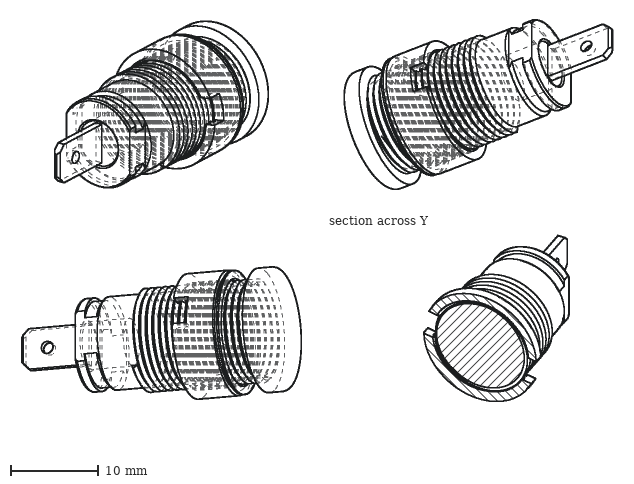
import cadquery as cq
import math


flange_radius = 7.2
head_length = 2.25
head_edge_radius = 0.6
body_radius = 5.4
body_end_depth = 20.6
housing_end_depth = 23.6
neck_radius = 5.0
neck_cone_length = body_radius - neck_radius
neck_end_depth = 22.4
end_chamfer_radial = 0.17
end_chamfer_length = 0.27
flat_offset = 4.52

thread_radius = 6.0
thread_pitch = 0.8
thread_flank_angle = math.radians(30)
helix_overlap = 0.07
thread_start_depth = 1.9
thread_end_depth = 16.6
thread_start_angle = 180.0

nut_radius = 7.25
nut_minor_radius = 5.85
nut_major_radius = 6.2
nut_groove_floor_width = 0.3
nut_depth = 5.85
nut_length = 5.0
nut_slot_width = 3.25
nut_slot_depth = 1.75
nut_slot_angle = 11.5

washer_bore_radius = 6.2
washer_length = 0.66
washer_rim_length = 0.22
washer_rim_radius = 7.18
washer_back_radius = 6.65

pin_radius = 2.75
pin_length = 5.0
bore_chamfer = 0.2
blade_width = 4.8
blade_thickness = 0.85
blade_offset_z = 0.1
blade_tip_depth = 31.7
tip_corner = 1.0
tip_bevel = 0.3
blade_hole_diameter = 1.4
blade_hole_to_tip = 3.23

pin_end_depth = housing_end_depth - bore_chamfer
pin_start_depth = pin_end_depth - pin_length


def revolve_about_y(profile):
    """Turn a closed (radius, depth) outline about the Y axis."""
    points = [(radius, -depth) for radius, depth in profile]
    return cq.Workplane("XY").polyline(points).close().revolve(360, (0, 0, 0), (0, 1, 0))


def cylinder_along_y(radius, start_depth, end_depth):
    """A round bar on the Y axis between two depths."""
    bar = cq.Workplane("XZ", origin=(0, -start_depth, 0)).circle(radius)
    return bar.extrude(end_depth - start_depth)


def thread_angle(depth):
    """Direction of the thread's crest at a depth, in degrees from +X towards +Z."""
    return thread_start_angle + 360 * (depth - thread_start_depth) / thread_pitch


def make_helical_bar(section, start_depth, end_depth):
    """Sweep a closed (radius, axial offset) section along the thread's helix."""
    helix = cq.Wire.makeHelix(thread_pitch, end_depth - start_depth, section[0][0])
    bar = cq.Workplane("XZ").polyline(section).close().sweep(cq.Workplane(obj=helix), isFrenet=True)
    bar = bar.rotate((0, 0, 0), (0, 0, 1), thread_angle(start_depth))
    bar = bar.rotate((0, 0, 0), (1, 0, 0), 90)
    return bar.translate((0, -start_depth, 0))


def make_thread_ridge():
    """The housing's thread ridge, with its base sunk slightly into the body."""
    base_radius = body_radius - helix_overlap
    half_base = (thread_radius - base_radius) * math.tan(thread_flank_angle)
    section = [(base_radius, -half_base), (thread_radius, 0), (base_radius, half_base)]
    return make_helical_bar(section, thread_start_depth, thread_end_depth)


def make_nut_groove():
    """The nut's groove, which clears the housing's ridge and overruns both nut faces."""
    inner_radius = nut_minor_radius - helix_overlap
    half_floor = nut_groove_floor_width / 2
    half_mouth = half_floor + (nut_major_radius - inner_radius) * math.tan(thread_flank_angle)
    section = [
        (inner_radius, -half_mouth),
        (nut_major_radius, -half_floor),
        (nut_major_radius, half_floor),
        (inner_radius, half_mouth),
    ]
    return make_helical_bar(section, nut_depth - thread_pitch, nut_depth + nut_length + thread_pitch)


def make_housing():
    head = cylinder_along_y(flange_radius, 0, head_length).faces(">Y").edges().fillet(head_edge_radius)
    shank = revolve_about_y([
        (0, head_length / 2),
        (body_radius, head_length / 2),
        (body_radius, body_end_depth),
        (neck_radius, body_end_depth + neck_cone_length),
        (neck_radius, neck_end_depth),
        (body_radius, neck_end_depth),
        (body_radius, housing_end_depth - end_chamfer_length),
        (body_radius - end_chamfer_radial, housing_end_depth),
        (0, housing_end_depth),
    ])
    flat_length = housing_end_depth - body_end_depth
    for side in (-1, 1):
        flat_cut = cq.Workplane("XY").box(body_radius, flat_length, 2 * flange_radius)
        shank = shank.cut(flat_cut.translate((
            side * (flat_offset + body_radius / 2),
            -(body_end_depth + flat_length / 2),
            0,
        )))
    pin_bore = revolve_about_y([
        (0, pin_start_depth),
        (pin_radius, pin_start_depth),
        (pin_radius, pin_end_depth),
        (pin_radius + bore_chamfer, housing_end_depth),
        (0, housing_end_depth),
    ])
    return head.union(shank).union(make_thread_ridge()).cut(pin_bore)


def make_nut():
    end_depth = nut_depth + nut_length
    nut = cylinder_along_y(nut_radius, nut_depth, end_depth)
    bore = cylinder_along_y(nut_minor_radius, nut_depth - 2 * thread_pitch, end_depth + 2 * thread_pitch)
    nut = nut.cut(bore.union(make_nut_groove()))
    slot = cq.Workplane("XY").box(3 * nut_radius, nut_slot_depth, nut_slot_width)
    slot = slot.rotate((0, 0, 0), (0, 1, 0), -nut_slot_angle)
    return nut.cut(slot.translate((0, -(end_depth - nut_slot_depth / 2), 0)))


def make_washer():
    front_depth = nut_depth - washer_length
    return revolve_about_y([
        (washer_bore_radius, front_depth),
        (washer_rim_radius, front_depth),
        (washer_rim_radius, front_depth + washer_rim_length),
        (washer_back_radius, nut_depth),
        (washer_bore_radius, nut_depth),
    ])


def make_terminal():
    pin = cylinder_along_y(pin_radius, pin_start_depth, pin_end_depth)
    blade_length = blade_tip_depth - pin_end_depth
    blade = cq.Workplane("XY").box(blade_thickness, blade_length, blade_width)
    blade = blade.edges("<Y and |X").chamfer(tip_corner)
    blade = blade.faces("<Y").edges("|Z").chamfer(tip_bevel)
    hole = cq.Workplane("YZ").circle(blade_hole_diameter / 2).extrude(blade_thickness, both=True)
    hole = hole.translate((0, blade_hole_to_tip - blade_length / 2, 0))
    blade = blade.cut(hole)
    blade = blade.translate((0, -(pin_end_depth + blade_length / 2), blade_offset_z))
    return pin.union(blade)


housing = make_housing().solids()
nut = make_nut().solids()
washer = make_washer().solids()
terminal = make_terminal().solids()

result = cq.Compound.makeCompound([housing.val(), nut.val(), washer.val(), terminal.val()])